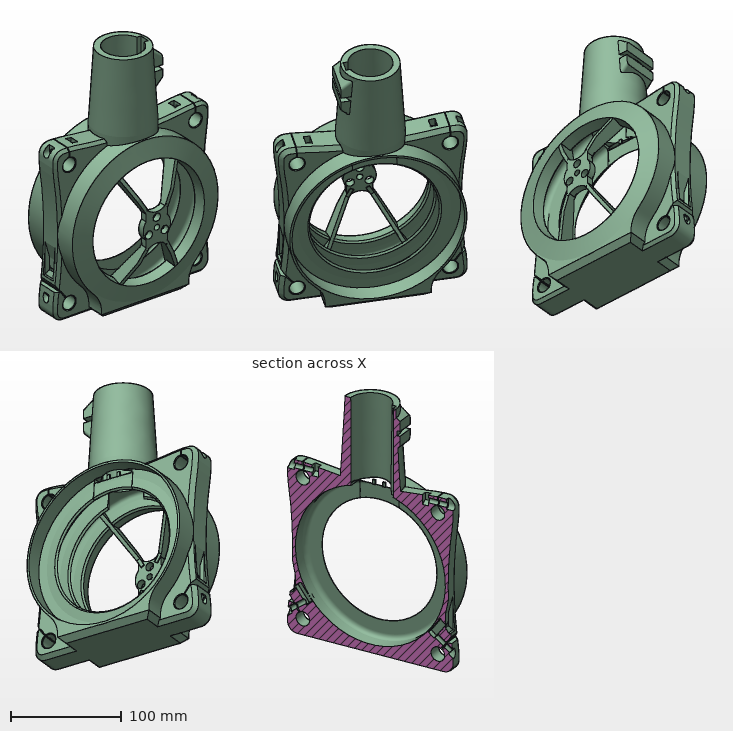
import cadquery as cq
import math

flange_half = 87.5
flange_half_thick = 14.0
flange_chamfer_front = 4.0
flange_chamfer_back = 3.0
corner_radius = 10.5
corner_flat = 70.8
waist_end = 62.0
waist_end_half = 86.7
waist_half = 82.2

ring_radius = 82.2
ring_front = -33.3
ring_back = 33.5
front_bore_radius = 160.0 / 2
nose_end = 38.8
nose_base_radius = 80.6
nose_tip_radius = 63.3
throat_radius = 60.2
outlet_radius = 62.7

baffle_face = -16.6
baffle_pitch = 22.0
baffle_cone_radius = 71.0
lip_radius = 62.0
lip_reach = 1.5
lip_bevel = 1.8
baffle_fillet = 4.8
last_groove_fillet = 3.8
groove_radius = 78.5

foot_half_width = 49.1
foot_fillet = 29.2
foot_fillet_z = -79.1
foot_chamfer = 5.5

socket_top = 164.5
socket_top_radius = 27.0
socket_base_radius = 31.8
socket_bore_top_radius = 20.5
socket_bore_base_radius = 19.5
key_depth = 24.0
key_top_width = 11.0
key_base_width = 6.0
key_base_z = 65.5

hook_half_width = 18.1
hook_reach = 31.2
hook_z = 140.5
hook_gap = 4.5
hook_straight = 12.5
hook_root_y = 20.0
hook_rise_top = 8.5
hook_rise_bottom = 11.3
hook_fillet = 3.0

mount_offset = 71.0
mount_diameter = 13.9
mount_chamfer = 0.8
slit_width = 1.0
side_slit_depth = 11.3

screw_diameter = 4.5
head_diameter = 8.0
nut_width = 10.0
nut_thick = 6.0
top_screw_z = 81.5
top_head_depth = 7.3
top_nut_y = 58.0
top_nut_shoulder = 78.5
top_nut_point = 75.9
side_screw_z = -66.5
side_head_depth = 3.3
side_head_clear = 7.5
side_nut_distance = 26.5
side_nut_thick = 7.5
side_nut_floor = 3.5
side_nut_reach = 20.2
pocket_half_width = 7.3
pocket_mouth = (-46.9, -13.5)
pocket_throat = (-42.3, -29.5)
pocket_mouth_y = 82.5
pocket_throat_y = 79.1
notch_y = 80.6
notch_z = -56.7
notch_top_y = 90.7
notch_top_z = -42.0

hub_radius = 15.4
hub_front = 44.0
hub_back = 51.2
arm_front = 43.3
web_half_width = 12.0
web_base_z = 7.5
web_corner_z = 18.6
web_peak = (10.8, 21.2)
web_hollow_z = 16.1
arm_root_x = 13.9
arm_width = 3.8
arm_tilt = 60.0
hub_hole_circle = 10.3
hub_hole_diameter = 8.0
hub_centre_hole_diameter = 5.8

window_half_width = 20.2
window_top = 79.0
insert_half_width = 20.7
insert_top = 74.3
insert_back = -15.0
prong_inner_y = 4.0
prong_outer_y = 6.8


def box(x0, x1, y0, y1, z0, z1):
    return cq.Workplane("XY").box(x1 - x0, y1 - y0, z1 - z0, centered=False).translate((x0, y0, z0))


def mirror_pair(shape):
    return shape.union(shape.mirror("XZ"))


def plate(points, x0, x1):
    """Closed Y-Z outline extruded from x0 to x1."""
    return cq.Workplane("YZ").workplane(offset=x0).polyline(points).close().extrude(x1 - x0)


def duct_outside():
    outline = cq.Workplane("XY").polyline([
        (ring_front, 0), (ring_front, ring_radius), (ring_back, ring_radius),
        (ring_back, nose_base_radius), (nose_end, nose_tip_radius), (nose_end, 0),
    ])
    return outline.close().revolve(360, (0, 0, 0), (1, 0, 0))


def add_lip(outline, face):
    """Continue a cavity outline down the front of a baffle and over its bevelled lip."""
    edge = face - lip_reach
    return (
        outline.lineTo(face, baffle_cone_radius).lineTo(edge, lip_radius)
        .lineTo(edge + lip_bevel, throat_radius)
    )


def add_back(outline, face):
    """Continue a cavity outline up the back of a baffle and round into the groove floor."""
    back = face - lip_reach + lip_bevel
    rounded = baffle_fillet * (1 - math.sqrt(0.5))
    return (
        outline.lineTo(back, groove_radius - baffle_fillet)
        .threePointArc((back + rounded, groove_radius - rounded), (back + baffle_fillet, groove_radius))
    )


def duct_cavity():
    second_face = baffle_face + baffle_pitch
    last_face = second_face + baffle_pitch
    outline = cq.Workplane("XY").moveTo(ring_front, 0).lineTo(ring_front, front_bore_radius)
    outline = add_lip(outline.lineTo(baffle_face, front_bore_radius), baffle_face)
    outline = add_back(outline, baffle_face).lineTo(second_face, groove_radius)
    outline = add_back(add_lip(outline, second_face), second_face)
    rounded = last_groove_fillet * (1 - math.sqrt(0.5))
    outline = outline.lineTo(last_face - last_groove_fillet, groove_radius).threePointArc(
        (last_face - rounded, groove_radius - rounded), (last_face, groove_radius - last_groove_fillet))
    outline = add_lip(outline, last_face).lineTo(nose_end, outlet_radius).lineTo(nose_end, 0)
    return outline.close().revolve(360, (0, 0, 0), (1, 0, 0))


def foot():
    centre_y = foot_half_width + foot_fillet
    shrink = ring_radius / math.hypot(centre_y, foot_fillet_z)
    tangent = (centre_y * shrink, foot_fillet_z * shrink)
    angle = (math.pi + math.atan2(tangent[1] - foot_fillet_z, tangent[0] - centre_y) % (2 * math.pi)) / 2
    middle = (centre_y + foot_fillet * math.cos(angle), foot_fillet_z + foot_fillet * math.sin(angle))
    body = (
        cq.Workplane("YZ").workplane(offset=ring_front)
        .moveTo(*tangent)
        .threePointArc(middle, (foot_half_width, foot_fillet_z))
        .lineTo(foot_half_width, -flange_half)
        .lineTo(-foot_half_width, -flange_half)
        .lineTo(-foot_half_width, foot_fillet_z)
        .threePointArc((-middle[0], middle[1]), (-tangent[0], tangent[1]))
        .close().extrude(ring_back - ring_front)
    )
    return body.faces("<Z").chamfer(foot_chamfer)


def flange():
    f, c, e, h, w = flange_half, corner_flat, waist_end, waist_end_half, waist_half
    body = (
        cq.Workplane("YZ").workplane(offset=-flange_half_thick)
        .moveTo(-f, -f).lineTo(f, -f)
        .lineTo(f, -c).lineTo(h, -e).threePointArc((w, 0), (h, e)).lineTo(f, c).lineTo(f, f)
        .lineTo(c, f).lineTo(e, h).threePointArc((0, w), (-e, h)).lineTo(-c, f).lineTo(-f, f)
        .lineTo(-f, c).lineTo(-h, e).threePointArc((-w, 0), (-h, -e)).lineTo(-f, -c)
        .close().extrude(2 * flange_half_thick)
    )
    for y in (-1, 1):
        for z in (-1, 1):
            corner = cq.selectors.BoxSelector((-2.5, y * f - 2.5, z * f - 2.5), (2.5, y * f + 2.5, z * f + 2.5))
            body = body.edges(corner).fillet(corner_radius)
    body = body.faces("<X").chamfer(flange_chamfer_front)
    return body.faces(">X").chamfer(flange_chamfer_back)


def mount_holes():
    reach = 2 * flange_half_thick
    spots = [(y, z) for y in (-mount_offset, mount_offset) for z in (-mount_offset, mount_offset)]
    holes = cq.Workplane("YZ").workplane(offset=-flange_half_thick).pushPoints(spots)
    cutters = holes.circle(mount_diameter / 2).extrude(reach)
    radius = mount_diameter / 2
    for y, z in spots:
        for face, inward in ((-flange_half_thick, 1), (flange_half_thick, -1)):
            cone = cq.Solid.makeCone(
                radius + mount_chamfer, radius, mount_chamfer,
                cq.Vector(face, y, z), cq.Vector(inward, 0, 0))
            cutters = cutters.union(cq.Workplane(cone))
    return cutters


def top_clamp():
    """Slit, screw, head recess and nut slot of the upper +Y corner."""
    half = flange_half_thick
    slit = box(-half, half, mount_offset - slit_width / 2, mount_offset + slit_width / 2,
               mount_offset, flange_half)
    inner_y = top_nut_y - nut_thick / 2
    screw = cq.Workplane("XZ", origin=(0, flange_half, top_screw_z)).circle(screw_diameter / 2)
    screw = screw.extrude(flange_half - inner_y)
    head = cq.Workplane("XZ", origin=(0, flange_half, top_screw_z)).circle(head_diameter / 2)
    head = head.extrude(top_head_depth)
    head_slot = box(-head_diameter / 2, head_diameter / 2, flange_half - top_head_depth, flange_half,
                    top_screw_z, flange_half)
    nut = (
        cq.Workplane("XZ", origin=(0, top_nut_y + nut_thick / 2, 0))
        .polyline([(-nut_width / 2, flange_half), (-nut_width / 2, top_nut_shoulder), (0, top_nut_point),
                   (nut_width / 2, top_nut_shoulder), (nut_width / 2, flange_half)])
        .close().extrude(nut_thick)
    )
    return slit.union(screw).union(head).union(head_slot).union(nut)


def side_clamp():
    """Notch, slanted slit, screw, head recess and nut pocket of the lower +Y corner."""
    half = flange_half_thick
    notch = plate([(notch_y, notch_z), (notch_top_y, notch_z), (notch_top_y, notch_top_z)], -half, half)
    to_hole = cq.Vector(0, -0.6, -0.8)
    inward = cq.Vector(0, -0.8, 0.6)
    start = cq.Vector(0, flange_half, side_screw_z)
    slit_plane = cq.Plane(origin=(0, notch_y, notch_z), xDir=(1, 0, 0), normal=to_hole.toTuple())
    slit = cq.Workplane(slit_plane).rect(2 * half, slit_width).extrude(side_slit_depth)
    screw = cq.Solid.makeCylinder(screw_diameter / 2, side_nut_distance, start, inward)
    head = cq.Solid.makeCylinder(
        head_diameter / 2, side_head_depth + side_head_clear, start - inward * side_head_clear, inward)
    nut_base = start + inward * side_nut_distance + to_hole * side_nut_floor
    nut_plane = cq.Plane(origin=nut_base.toTuple(), xDir=(1, 0, 0), normal=(to_hole * -1).toTuple())
    nut = cq.Workplane(nut_plane).rect(nut_width, side_nut_thick).extrude(side_nut_reach)
    cutters = notch.union(slit).union(cq.Workplane(screw)).union(cq.Workplane(head))
    return cutters.union(nut).union(nut_pocket_mouth())


def nut_pocket_mouth():
    """Tapered opening from the flange side down to the nut pocket."""
    mouth_low, mouth_high = pocket_mouth
    throat_low, throat_high = pocket_throat
    mouth = cq.Workplane("XZ", origin=(0, pocket_mouth_y, (mouth_low + mouth_high) / 2))
    mouth = mouth.rect(2 * pocket_half_width, mouth_high - mouth_low)
    taper = (
        mouth.workplane(offset=pocket_mouth_y - pocket_throat_y,
                        origin=(0, pocket_mouth_y, (throat_low + throat_high) / 2))
        .rect(nut_width, throat_high - throat_low).loft()
    )
    opening = box(-pocket_half_width, pocket_half_width, pocket_mouth_y, flange_half, mouth_low, mouth_high)
    return taper.union(opening)


def socket():
    taper = cq.Workplane(cq.Solid.makeCone(
        socket_base_radius, socket_top_radius, socket_top - flange_half, cq.Vector(0, 0, flange_half)))
    base = cq.Workplane("XY").circle(socket_base_radius).extrude(flange_half)
    return base.union(taper)


def socket_bore():
    bore = cq.Workplane(cq.Solid.makeCone(
        socket_bore_base_radius, socket_bore_top_radius, socket_top))
    key = (
        cq.Workplane("XY", origin=(0, key_depth / 2, key_base_z)).rect(key_base_width, key_depth)
        .workplane(offset=socket_top - key_base_z).rect(key_top_width, key_depth).loft()
    )
    return bore.union(key)


def hook():
    low = hook_z - hook_straight
    high = hook_z + hook_straight
    profile = [
        (hook_root_y, low - hook_rise_bottom), (hook_reach, low),
        (hook_reach, high), (hook_root_y, high + hook_rise_top),
    ]
    body = plate(profile, -hook_half_width, hook_half_width)
    body = body.faces("<Z or >Z").edges("<X or >X").fillet(hook_fillet)
    gap = box(-hook_half_width, hook_half_width, hook_root_y, hook_reach,
              hook_z - hook_gap / 2, hook_z + hook_gap / 2)
    return body.cut(gap)


def arm():
    root_radius = (groove_radius + ring_radius) / 2
    profile = [
        (arm_root_x, root_radius), (ring_back, root_radius), (nose_end, 62.5), (49.0, 37.8), (hub_back, 23.2),
        (hub_back, 14.4), (arm_front, 14.4), (arm_front, 23.5),
    ]
    return cq.Workplane("XY").polyline(profile).close().extrude(arm_width / 2, both=True)


def hub_web():
    """Gusset joining the hub to its two upper arms, with a hollow top edge."""
    peak_y, peak_z = web_peak
    return (
        cq.Workplane("YZ").workplane(offset=hub_front)
        .moveTo(-web_half_width, web_base_z).lineTo(web_half_width, web_base_z)
        .lineTo(web_half_width, web_corner_z).lineTo(peak_y, peak_z)
        .threePointArc((0, web_hollow_z), (-peak_y, peak_z)).lineTo(-web_half_width, web_corner_z)
        .close().extrude(hub_back - hub_front)
    )


def spider():
    hub = cq.Workplane("YZ").workplane(offset=hub_front).circle(hub_radius).extrude(hub_back - hub_front)
    web = hub_web()
    hub = hub.union(web).union(web.mirror("XY"))
    for angle in (arm_tilt, 180 - arm_tilt, 180 + arm_tilt, -arm_tilt):
        hub = hub.union(arm().rotate((0, 0, 0), (1, 0, 0), angle))
    holes = (
        cq.Workplane("YZ").workplane(offset=hub_front)
        .polarArray(hub_hole_circle, 90, 360, 3).circle(hub_hole_diameter / 2).extrude(hub_back - hub_front)
    )
    centre = cq.Workplane("YZ").workplane(offset=hub_front).circle(hub_centre_hole_diameter / 2)
    return hub.cut(holes).cut(centre.extrude(hub_back - hub_front))


def make_housing():
    body = duct_outside().union(foot()).union(flange()).union(socket()).union(hook())
    body = body.cut(mount_holes()).cut(mirror_pair(top_clamp())).cut(mirror_pair(side_clamp()))
    body = body.cut(duct_cavity()).cut(socket_bore())
    slot = box(baffle_face - lip_reach, baffle_face + baffle_fillet, -insert_half_width, insert_half_width,
               0, insert_top)
    window = box(baffle_face, 0, -window_half_width, window_half_width, insert_top, window_top)
    return body.cut(slot).cut(window).union(spider())


def make_insert():
    sheet = duct_outside().cut(duct_cavity())
    body = sheet.intersect(box(baffle_face - lip_reach, insert_back, -insert_half_width, insert_half_width,
                               0, insert_top))
    prong = box(baffle_face, insert_back, prong_inner_y, prong_outer_y, insert_top, window_top)
    return body.union(mirror_pair(prong))


housing = make_housing()
insert = make_insert()

result = cq.Compound.makeCompound([housing.val(), insert.val()])